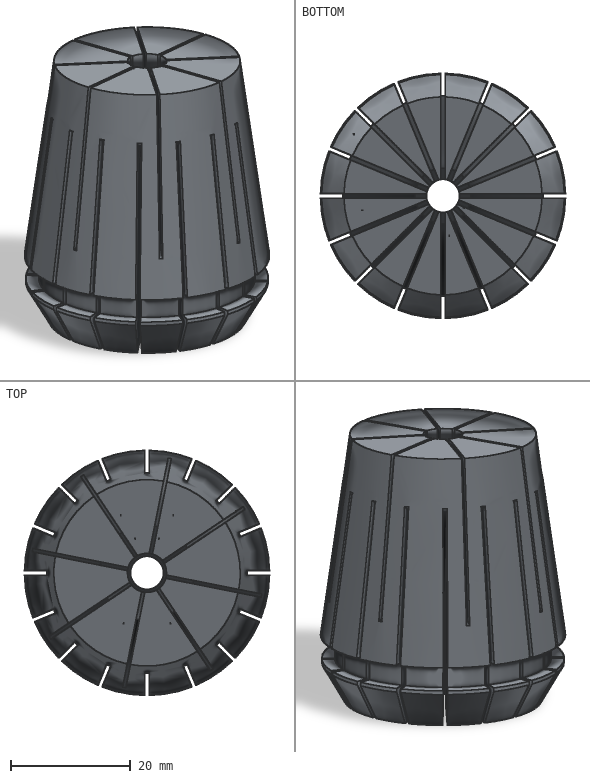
import cadquery as cq
import math

height = 46.0
outer_diameter = 41.0
cone_base_radius = outer_diameter / 2
cone_half_angle = 8.0
cone_base_z = 11.1
neck_radius = 18.12
collar_radius = 20.3
collar_top_z = 7.05
collar_edge_z = 6.4
nose_radius = 16.55

bore_radius = 2.75
relief_radius = 3.25
relief_floor_z = 21.6

bottom_slot_count = 16
bottom_slot_width = 0.75
bottom_slot_top_z = 37.7
bottom_core_radius = 4.65
bottom_core_z = 19.75
bottom_saw_radius = 24.4

top_slot_count = 8
top_slot_width = 0.55
top_slot_bottom_z = 18.05
top_ridge_radius = 7.9
top_ridge_z = 24.85
top_saw_radius = 17.5
top_plunge_radius = 29.9
top_slot_first_angle = -180.0 / bottom_slot_count

overrun = 4.6


def cone_radius_at(z):
    return cone_base_radius - (z - cone_base_z) * math.tan(math.radians(cone_half_angle))


def arc_middle(start, end, radius):
    """Middle point of the shorter arc, bulging to the left when going from start to end."""
    dx = end[0] - start[0]
    dz = end[1] - start[1]
    chord = math.hypot(dx, dz)
    bulge = radius - math.sqrt(radius**2 - (chord / 2) ** 2)
    return (
        (start[0] + end[0]) / 2 - bulge * dz / chord,
        (start[1] + end[1]) / 2 + bulge * dx / chord,
    )


def make_body():
    outline = [
        (0, 0),
        (nose_radius, 0),
        (collar_radius, collar_edge_z),
        (collar_radius, collar_top_z),
        (neck_radius, collar_top_z),
        (neck_radius, cone_base_z),
        (cone_base_radius, cone_base_z),
        (cone_radius_at(height), height),
        (0, height),
    ]
    return cq.Workplane("XZ").polyline(outline).close().revolve(360, (0, 0), (0, 1))


def make_bore():
    through = cq.Workplane("XY").circle(bore_radius).extrude(height)
    relief = cq.Workplane("XY").workplane(offset=relief_floor_z).circle(relief_radius)
    return through.union(relief.extrude(height - relief_floor_z))


def make_bottom_slot():
    """Radial slot along +X, open at the bottom, its roof curving up and outward."""
    core = (bottom_core_radius, bottom_core_z)
    exit_point = (cone_radius_at(bottom_slot_top_z), bottom_slot_top_z)
    outer_x = cone_base_radius + overrun
    return (
        cq.Workplane("XZ")
        .moveTo(0, -overrun)
        .lineTo(0, bottom_core_z)
        .lineTo(*core)
        .threePointArc(arc_middle(core, exit_point, bottom_saw_radius), exit_point)
        .lineTo(outer_x, bottom_slot_top_z)
        .lineTo(outer_x, -overrun)
        .close()
        .extrude(bottom_slot_width / 2, both=True)
    )


def make_top_slot():
    """Radial slot along +X, open at the top, its floor dished at the axis and dropping outward."""
    ridge = (top_ridge_radius, top_ridge_z)
    exit_point = (cone_radius_at(top_slot_bottom_z), top_slot_bottom_z)
    outer_x = cone_base_radius + overrun
    plunge_center_z = top_ridge_z + math.sqrt(top_plunge_radius**2 - top_ridge_radius**2)
    dish_bottom = (0, plunge_center_z - top_plunge_radius)
    return (
        cq.Workplane("XZ")
        .moveTo(0, height + overrun)
        .lineTo(outer_x, height + overrun)
        .lineTo(outer_x, top_slot_bottom_z)
        .lineTo(*exit_point)
        .threePointArc(arc_middle(exit_point, ridge, top_saw_radius), ridge)
        .threePointArc(arc_middle(ridge, dish_bottom, top_plunge_radius), dish_bottom)
        .close()
        .extrude(top_slot_width / 2, both=True)
    )


def cut_around(body, slot, count, first_angle):
    for index in range(count):
        angle = first_angle + index * 360.0 / count
        body = body.cut(slot.rotate((0, 0, 0), (0, 0, 1), angle))
    return body


result = make_body().cut(make_bore())
result = cut_around(result, make_bottom_slot(), bottom_slot_count, 0)
result = cut_around(result, make_top_slot(), top_slot_count, top_slot_first_angle)